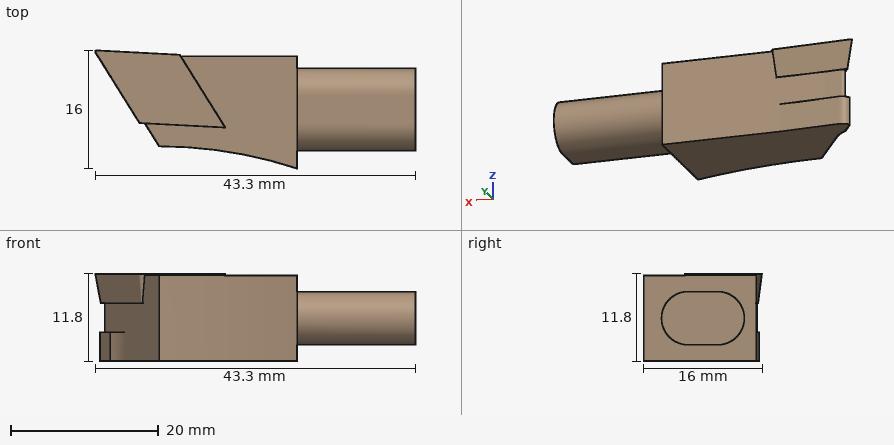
import cadquery as cq
import math


HEAD_HEIGHT = 11.6
HEAD_BACK_Y = 7.2
HEAD_FRONT_Y = -8.0
FRONT_CURVE_START_Y = -5.0
FRONT_CURVE_RADIUS = 60.0
HEAD_NOSE_RADIUS = 0.4

SHANK_LENGTH = 16.0
SHANK_WIDTH = 11.2
SHANK_THICKNESS = 7.2

INSCRIBED_CIRCLE = 9.525
NOSE_ANGLE = 55.0
CLEARANCE_ANGLE = 7.0
INSERT_THICKNESS = 3.97
INSERT_NOSE_RADIUS = 0.2
SHARP_RADIUS = 0.01
INSERT_CORNER_RADIUS = 0.3
INSERT_PROUD = 0.2
INSERT_LEAD_ANGLE = 3.0
INSERT_TIP = (-27.48, 8.01)

SUPPORT_INSET = 0.1
LUG_FLANK_OFFSET = 0.55
LUG_FLAT_START_Y = 6.76
LUG_FLAT_END_Y = 4.54
LUG_NOSE_RADIUS = 1.2
LUG_NOSE_START_ANGLE = 165.0
LUG_RUNOUT_RADIUS = 7.0

POCKET_OVERRUN = 4.0

insert_top = HEAD_HEIGHT + INSERT_PROUD
insert_floor = insert_top - INSERT_THICKNESS
lug_height = insert_floor / 2
insert_side = INSCRIBED_CIRCLE / math.sin(math.radians(NOSE_ANGLE))
front_drop = FRONT_CURVE_START_Y - HEAD_FRONT_Y
front_curve_length = math.sqrt(2 * FRONT_CURVE_RADIUS * front_drop - front_drop**2)


def heading(angle):
    """Unit vector at an angle in degrees from +X."""
    return cq.Vector(math.cos(math.radians(angle)), math.sin(math.radians(angle)))


along_back = heading(-INSERT_LEAD_ANGLE)
along_flank = heading(-INSERT_LEAD_ANGLE - NOSE_ANGLE)
out_of_back = heading(90 - INSERT_LEAD_ANGLE)
out_of_flank = heading(-INSERT_LEAD_ANGLE - NOSE_ANGLE - 90)
insert_tip = cq.Vector(*INSERT_TIP)
inner_corner = insert_tip + (along_back + along_flank) * insert_side
clearance_inset = INSERT_THICKNESS * math.tan(math.radians(CLEARANCE_ANGLE))


def inset_step(inset):
    """Length along each side that moves a sharp acute corner in by an inset."""
    return inset / math.sin(math.radians(NOSE_ANGLE))


def point_at_y(start, direction, y):
    """Point where a line through start reaches the given Y."""
    return start + direction * ((y - start.y) / direction.y)


def xy(point):
    return (point.x, point.y)


def rhombus_corners(side, inset):
    """Corners of a rhombus ending at the inner corner, then inset all round; cutting tip first."""
    far = inner_corner - (along_back + along_flank) * inset_step(inset)
    length = side - 2 * inset_step(inset)
    return [
        far - (along_back + along_flank) * length,
        far - along_flank * length,
        far,
        far - along_back * length,
    ]


def rhombus_wire(inset, nose_radius, z):
    """Insert outline at height z with its cutting tip and obtuse corners rounded."""
    corners = [cq.Vector(*xy(corner), z) for corner in rhombus_corners(insert_side, inset)]
    outline = cq.Wire.makePolygon(corners, close=True)
    _, *obtuse_corners, _ = sorted(outline.Vertices(), key=lambda vertex: vertex.X)
    outline = outline.fillet2D(INSERT_CORNER_RADIUS, obtuse_corners)
    nose = min(outline.Vertices(), key=lambda vertex: vertex.X)
    return outline.fillet2D(nose_radius, [nose])


head_tip = rhombus_corners(insert_side, clearance_inset + SUPPORT_INSET)[0]


def make_insert():
    top = rhombus_wire(0, INSERT_NOSE_RADIUS, insert_top)
    bottom = rhombus_wire(clearance_inset, SHARP_RADIUS, insert_floor)
    return cq.Workplane(cq.Solid.makeLoft([top, bottom], True))


def make_pocket():
    """Recess for the insert, open past its two cutting edges."""
    corners = rhombus_corners(insert_side + POCKET_OVERRUN, 0)
    return (
        cq.Workplane("XY", origin=(0, 0, insert_top))
        .polyline([xy(corner) for corner in corners])
        .close()
        .extrude(-INSERT_THICKNESS, taper=CLEARANCE_ANGLE)
    )


def make_head():
    flank_end = point_at_y(head_tip, along_flank, FRONT_CURVE_START_Y)
    back_end = point_at_y(head_tip, along_back, HEAD_BACK_Y)
    half_length = front_curve_length / 2
    half_drop = FRONT_CURVE_RADIUS - math.sqrt(FRONT_CURVE_RADIUS**2 - half_length**2)
    curve_middle = (-half_length, FRONT_CURVE_START_Y - half_drop)
    body = (
        cq.Workplane("XY")
        .moveTo(0, HEAD_BACK_Y)
        .lineTo(*xy(back_end))
        .lineTo(*xy(head_tip))
        .lineTo(*xy(flank_end))
        .threePointArc(curve_middle, (0, HEAD_FRONT_Y))
        .close()
        .extrude(HEAD_HEIGHT)
    )
    return body.edges("|Z").edges("<X").fillet(HEAD_NOSE_RADIUS)


def make_lug():
    flank_point = head_tip + out_of_flank * LUG_FLANK_OFFSET
    flat_start = point_at_y(flank_point, along_flank, LUG_FLAT_START_Y)
    flat_end = point_at_y(flank_point, along_flank, LUG_FLAT_END_Y)
    nose_center = flat_start - heading(LUG_NOSE_START_ANGLE) * LUG_NOSE_RADIUS
    nose_end = nose_center + out_of_back * LUG_NOSE_RADIUS
    back_end = point_at_y(nose_end, along_back, HEAD_BACK_Y)
    runout = math.sqrt(2 * LUG_RUNOUT_RADIUS * LUG_FLANK_OFFSET - LUG_FLANK_OFFSET**2)
    runout_end = flat_end - out_of_flank * LUG_FLANK_OFFSET + along_flank * runout
    return (
        cq.Workplane("XY")
        .moveTo(*xy(back_end))
        .lineTo(*xy(nose_end))
        .radiusArc(xy(flat_start), -LUG_NOSE_RADIUS)
        .lineTo(*xy(flat_end))
        .radiusArc(xy(runout_end), LUG_RUNOUT_RADIUS)
        .close()
        .extrude(lug_height)
    )


def make_shank():
    return (
        cq.Workplane("YZ", origin=(0, 0, HEAD_HEIGHT / 2))
        .slot2D(SHANK_WIDTH, SHANK_THICKNESS)
        .extrude(SHANK_LENGTH)
    )


def make_holder():
    return make_head().union(make_lug()).union(make_shank()).cut(make_pocket())


holder = make_holder()
cutting_insert = make_insert()

result = cq.Compound.makeCompound([holder.val(), cutting_insert.val()])